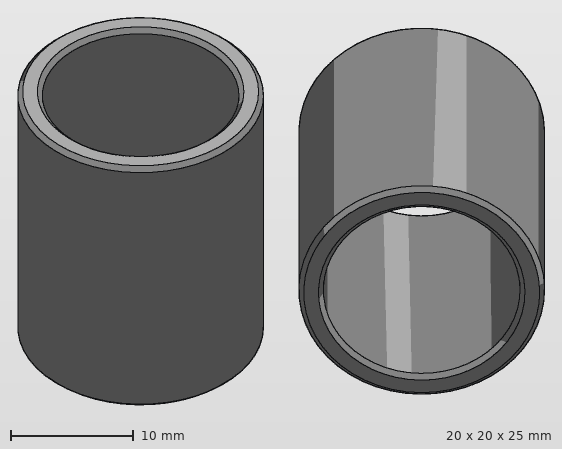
import cadquery as cq

length = 25
outer_diameter = 20
bore_diameter = 16
edge_chamfer = 0.4

bushing = (
    cq.Workplane("XY")
    .circle(outer_diameter / 2)
    .circle(bore_diameter / 2)
    .extrude(length)
)

result = bushing.faces("<Z or >Z").edges().chamfer(edge_chamfer)